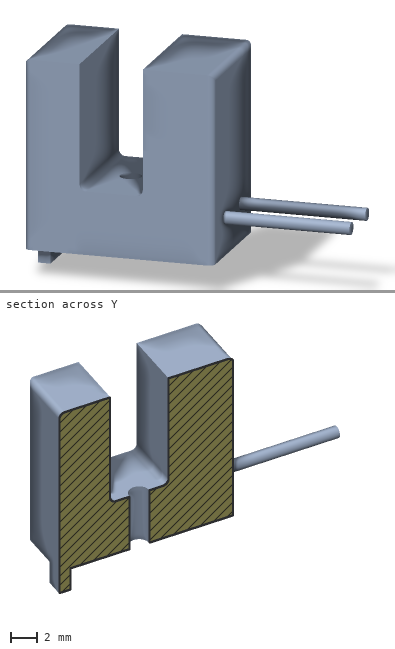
import cadquery as cq

body_length = 15.0
body_width = 10.0
body_height = 15.0
edge_radius = 0.5

gap_start = 4.4
gap_width = 5.0
gap_depth = 10.0
gap_corner_radius = 0.5

floor_hole_diameter = 1.7

tab_length = 1.0
tab_width = 3.0
tab_height = 2.0

lead_diameter = 1.0
lead_length = 10.0
lead_spacing = 4.0
lead_height = 3.0

gap_centre = gap_start + gap_width / 2
gap_floor = body_height - gap_depth


def block(length, width, height, start_x, start_z):
    """Box starting at the given X and Z, centred on Y = 0."""
    return (
        cq.Workplane("XY")
        .box(length, width, height, centered=(False, True, False))
        .translate((start_x, 0, start_z))
    )


def make_housing():
    """Block with rounded end edges, an open gap and a hole in its floor."""
    outer = block(body_length, body_width, body_height, 0, 0)
    outer = outer.edges("|Z or (>Z and |Y)").fillet(edge_radius)
    gap = block(gap_width, body_width, gap_depth, gap_start, gap_floor)
    gap = gap.edges("<Z and |Y").fillet(gap_corner_radius)
    floor_hole = (
        cq.Workplane("XY")
        .center(gap_centre, 0)
        .circle(floor_hole_diameter / 2)
        .extrude(gap_floor)
    )
    return outer.cut(gap).cut(floor_hole)


def make_tab():
    """Locating tab, flush with the end face of the housing."""
    return block(tab_length, tab_width, tab_height, 0, -tab_height)


def make_lead(y):
    """Round lead standing out from the end face."""
    return (
        cq.Workplane("YZ", origin=(body_length, y, lead_height))
        .circle(lead_diameter / 2)
        .extrude(lead_length)
    )


result = make_housing().union(make_tab())
for side in (-1, 1):
    result = result.union(make_lead(side * lead_spacing / 2))